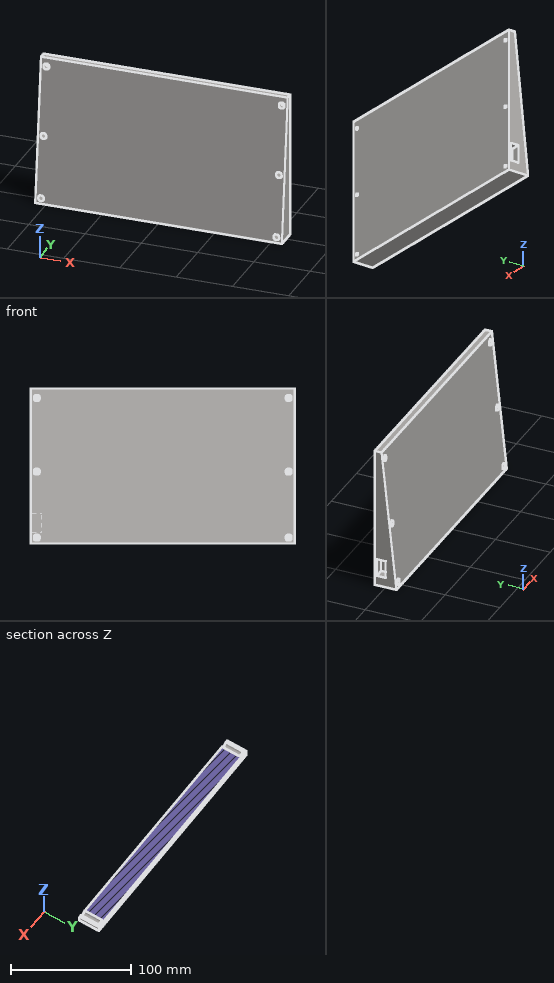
import cadquery as cq

length = 219.2
base_depth = 20.0
top_depth = 6.4
height = 129.0

hole_diameter = 2.2
counterbore_diameter = 5.0
counterbore_floor = 2.0
hole_side_margin = 5.0
hole_heights = (5.0, 59.8, 121.0)

pocket_back_margin = 2.0
pocket_width = 8.1
pocket_bottom = 9.2
pocket_height = 16.0
pocket_depth = 8.8


def make_wedge():
    """Body with its back face on Y = 0 and its base on Z = 0."""
    profile = [(0, 0), (-base_depth, 0), (-top_depth, height), (0, height)]
    return cq.Workplane("YZ").polyline(profile).close().extrude(length)


def make_cylinder(x, z, diameter, back_y):
    """Cutter parallel to Y, from back_y out to the front limit of the body."""
    return (
        cq.Workplane("XZ", origin=(x, back_y, z))
        .circle(diameter / 2)
        .extrude(base_depth + back_y)
    )


def cut_screw_holes(body):
    for x in (hole_side_margin, length - hole_side_margin):
        for z in hole_heights:
            body = body.cut(make_cylinder(x, z, hole_diameter, 0))
            body = body.cut(make_cylinder(x, z, counterbore_diameter, -counterbore_floor))
    return body


def cut_end_pocket(body):
    pocket = cq.Workplane("XY").box(pocket_depth, pocket_width, pocket_height, centered=False)
    return body.cut(pocket.translate((0, -pocket_back_margin - pocket_width, pocket_bottom)))


result = cut_end_pocket(cut_screw_holes(make_wedge()))